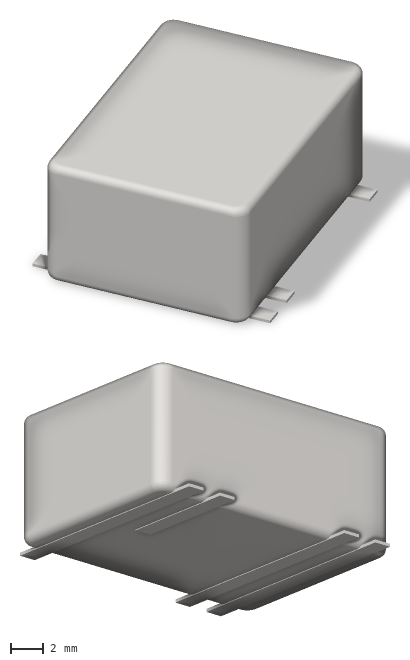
import cadquery as cq

body_width = 13.7
body_length = 18.9
overall_height = 8.55
standoff = 0.05
corner_radius = 0.95
rim_radius = 0.48

overall_width = 16.15
lead_width = 1.2
lead_thickness = 0.2
lead_pitch = 2.54
outer_row = 3 * lead_pitch
inner_row = 2 * lead_pitch
left_lead_rows = [outer_row, inner_row, -inner_row, -outer_row]
right_lead_rows = [outer_row, -inner_row, -outer_row]
lead_length = overall_width / 2


def make_body():
    """Rectangular block with rounded corners and rounded top and bottom rims."""
    block = cq.Workplane("XY").workplane(offset=standoff).rect(body_width, body_length)
    block = block.extrude(overall_height - standoff)
    block = block.edges("|Z").fillet(corner_radius)
    return block.faces("<Z or >Z").edges().fillet(rim_radius)


def make_leads(side, rows):
    """Flat leads on one side of the body; side is -1 for -X and +1 for +X."""
    centers = [(side * lead_length / 2, y) for y in rows]
    leads = cq.Workplane("XY").pushPoints(centers).rect(lead_length, lead_width)
    return leads.extrude(lead_thickness)


left_leads = make_leads(-1, left_lead_rows)
right_leads = make_leads(1, right_lead_rows)
result = make_body().union(left_leads).union(right_leads)